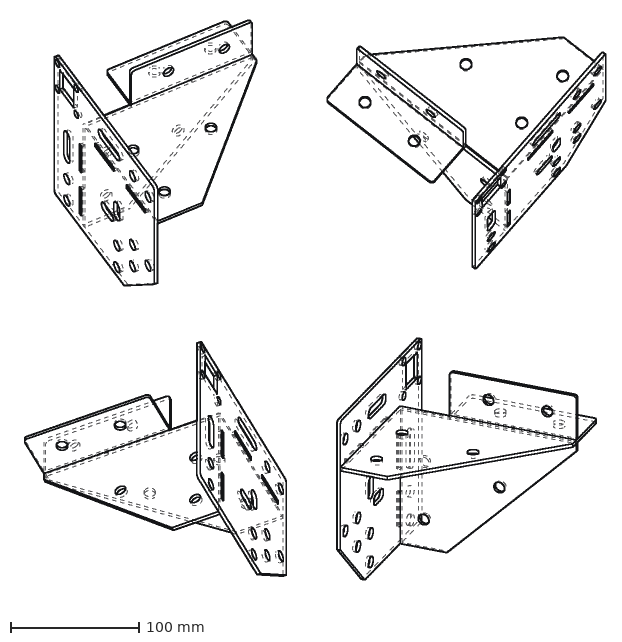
import cadquery as cq
import math


plate_side = 160.0
total_depth = 153.0
sheet = 3.0
corner_radius = 3.0
bolt_diameter = 9.0

plate_cut_leg = 48.0
first_row = 20.0
row_step = 25.0
inner_row = 100.0
middle_row = inner_row + row_step
last_row = middle_row + row_step

long_slot_start = 75.0
long_slot_travel = row_step
short_slot_start = 80.0
short_slot_travel = 10.0

window_side = 22.4
window_screw_pitch = 30.0
window_screw_diameter = 6.5

gusset_near_face = 40.0
gusset_far_face = gusset_near_face + sheet
gusset_back_width = 50.0
gusset_slope = plate_side - gusset_back_width
gusset_bolt_depth = 23.0
gusset_bolts_across = (85.0, 135.0)
slope_bolt_inset = 15.0

tab_length = 30.0
tab_starts = (65.0, 115.0)
tab_depth = 2.4

flange_edge = 2.0
flange_front = 45.0
flange_length = total_depth - flange_front
flange_middle = flange_front + flange_length / 2
flange_bolt_across = first_row
flange_bolts_depth = (78.0, 128.0)


def rectangle(plane, start, end, thickness):
    """Flat block between two opposite corners on a plane."""
    width = end[0] - start[0]
    height = end[1] - start[1]
    return (
        cq.Workplane(plane)
        .moveTo(start[0] + width / 2, start[1] + height / 2)
        .rect(width, height)
        .extrude(thickness)
    )


def mirrored_places(places):
    """Add the places swapped across the diagonal."""
    return places + [(down, across) for across, down in places]


def make_plate():
    face = cq.Plane(origin=(0, 0, 0), xDir=(1, 0, 0), normal=(0, 1, 0))

    def drill(body, places, diameter):
        holes = cq.Workplane(face).pushPoints(places).circle(diameter / 2).extrude(sheet)
        return body.cut(holes)

    def cut_slot(body, start, travel, row):
        length = travel + bolt_diameter
        middle = start + travel / 2
        for place, angle in (((middle, row), 0), ((row, middle), 90)):
            slot = cq.Workplane(face).pushPoints([place]).slot2D(length, bolt_diameter, angle)
            body = body.cut(slot.extrude(sheet))
        return body

    plate = rectangle(face, (0, 0), (plate_side, plate_side), sheet)
    plate = plate.edges("|Y").edges("<X or >Z").fillet(corner_radius)
    plate = plate.edges("|Y").edges(">X and <Z").chamfer(plate_cut_leg)

    bolts = mirrored_places([(middle_row, first_row), (last_row, first_row),
                             (middle_row, inner_row), (last_row, inner_row)])
    bolts.append((middle_row, middle_row))
    plate = drill(plate, bolts, bolt_diameter)

    plate = cut_slot(plate, long_slot_start, long_slot_travel, first_row)
    plate = cut_slot(plate, short_slot_start, short_slot_travel, inner_row)

    window_low = first_row - window_side / 2
    window_high = first_row + window_side / 2
    plate = plate.cut(rectangle(face, (window_low, window_low), (window_high, window_high), sheet))
    screw_low = first_row - window_screw_pitch / 2
    screw_high = first_row + window_screw_pitch / 2
    screws = [(x, y) for x in (screw_low, screw_high) for y in (screw_low, screw_high)]
    plate = drill(plate, screws, window_screw_diameter)

    for start in tab_starts:
        end = start + tab_length
        plate = plate.cut(rectangle(face, (start, gusset_near_face), (end, gusset_far_face), sheet))
        plate = plate.cut(rectangle(face, (gusset_near_face, start), (gusset_far_face, end), sheet))
    return plate


def make_gusset(plane, bridge_start, bridge_end):
    """Gusset on a plane with local x across the plate and local y to the back.

    The flange joins the web only along the bridge; the other gusset fills the rest of that strip.
    """
    web = (
        cq.Workplane(plane)
        .moveTo(gusset_far_face, sheet)
        .lineTo(plate_side, sheet)
        .lineTo(plate_side, total_depth - gusset_slope)
        .lineTo(gusset_back_width, total_depth)
        .lineTo(gusset_far_face, total_depth)
        .close()
        .extrude(sheet)
    )

    for start in tab_starts:
        web = web.union(rectangle(plane, (start, sheet - tab_depth), (start + tab_length, sheet), sheet))

    flange = rectangle(plane, (flange_edge, flange_front), (gusset_near_face, total_depth), sheet)
    upright_edges = cq.selectors.ParallelDirSelector(plane.zDir)
    outer_edges = cq.selectors.DirectionMinMaxSelector(plane.xDir, directionMax=False)
    flange = flange.edges(upright_edges).edges(outer_edges).fillet(corner_radius)

    bridge = rectangle(plane, (gusset_near_face, bridge_start), (gusset_far_face, bridge_end), sheet)
    gusset = web.union(flange).union(bridge)

    slope_bolt_shift = gusset_slope / 2 + slope_bolt_inset / math.sqrt(2)
    bolts = [(across, gusset_bolt_depth) for across in gusset_bolts_across]
    bolts.append((plate_side - slope_bolt_shift, total_depth - slope_bolt_shift))
    bolts += [(flange_bolt_across, depth) for depth in flange_bolts_depth]
    holes = cq.Workplane(plane).pushPoints(bolts).circle(bolt_diameter / 2).extrude(sheet)
    return gusset.cut(holes)


def make_level_gusset():
    plane = cq.Plane(origin=(0, 0, -gusset_far_face), xDir=(1, 0, 0), normal=(0, 0, 1))
    return make_gusset(plane, flange_middle, total_depth)


def make_upright_gusset():
    plane = cq.Plane(origin=(gusset_near_face, 0, 0), xDir=(0, 0, -1), normal=(1, 0, 0))
    return make_gusset(plane, flange_front, flange_middle)


plate = make_plate()
level_gusset = make_level_gusset()
upright_gusset = make_upright_gusset()

result = cq.Compound.makeCompound([plate.val(), level_gusset.val(), upright_gusset.val()])